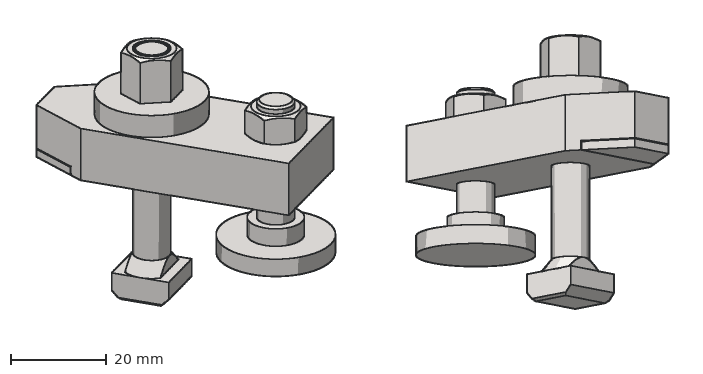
import cadquery as cq
import math


overall_length = 64.5

bar_length = 60.0
bar_width = 25.0
bar_height = 11.95
nose_width = 10.0
nose_half_angle = 30.0
nose_length = (bar_width - nose_width) / 2 / math.tan(math.radians(nose_half_angle))

pad_length = 9.95
pad_height = 1.8
pad_gap = 0.2

shank_diameter = 8.0

bolt_x = 24.0
bolt_bottom_z = -29.0
bolt_head_size = 12.9
bolt_head_height = 6.0
bolt_head_side_chamfer = 2.0
bolt_head_end_chamfer = 0.6
bolt_neck_height = 3.0
bolt_end_diameter = 7.35
bolt_end_chamfer = 0.25

hex_sides = 6
hex_across_corners = 13.0
hex_face_diameter = 10.4
hex_chamfer_angle = 25.0

collar_diameter = 24.0
collar_height = 5.0
collar_hex_height = 10.0
collar_nut_height = collar_height + collar_hex_height

lock_nut_height = 6.5

foot_diameter = 25.0
foot_height = 4.0
foot_hub_diameter = 12.0
foot_hub_height = 4.0
foot_bottom_z = -15.0
screw_x = overall_length - foot_diameter / 2
screw_top_z = bar_height + 8.05
screw_chamfer = 0.5


def cylinder(x, diameter, bottom_z, top_z):
    """Upright cylinder on the bar's centre line."""
    return cq.Workplane("XY", origin=(x, 0, bottom_z)).circle(diameter / 2).extrude(top_z - bottom_z)


def nose_outline_prism(height):
    """Prism with the bar's tapered plan outline, standing on Z = 0."""
    return (
        cq.Workplane("XY")
        .moveTo(0, -nose_width / 2)
        .lineTo(nose_length, -bar_width / 2)
        .lineTo(bar_length, -bar_width / 2)
        .lineTo(bar_length, bar_width / 2)
        .lineTo(nose_length, bar_width / 2)
        .lineTo(0, nose_width / 2)
        .close()
        .extrude(height)
    )


def make_nose_piece(length, height):
    """Low piece of the tapered nose that ends square to X."""
    block = cq.Workplane("XY").box(length, bar_width, height, centered=(False, True, False))
    return nose_outline_prism(height).intersect(block)


def make_pad():
    """Pad flush with the nose outline and the underside of the bar."""
    return make_nose_piece(pad_length, pad_height)


def make_bar():
    """Bar with two shank holes and a recess that clears the pad by a thin gap."""
    recess = make_nose_piece(pad_length + pad_gap, pad_height + pad_gap)
    bar = nose_outline_prism(bar_height).cut(recess)
    for hole_x in (bolt_x, screw_x):
        bar = bar.cut(cylinder(hole_x, shank_diameter, 0, bar_height))
    return bar


def make_t_bolt():
    """Square T-head, flat-sided conical neck, shank and a reduced end inside the collar nut."""
    head_top_z = bolt_bottom_z + bolt_head_height
    neck_top_z = head_top_z + bolt_neck_height
    head = (
        cq.Workplane("XY", origin=(bolt_x, 0, bolt_bottom_z))
        .box(bolt_head_size, bolt_head_size, bolt_head_height, centered=(True, True, False))
        .faces("<Z").edges("|Y").chamfer(bolt_head_side_chamfer)
        .faces("<Z").edges("|X").chamfer(bolt_head_end_chamfer)
    )
    neck_cone = (
        cq.Workplane("XY", origin=(bolt_x, 0, head_top_z))
        .circle(bolt_head_size / 2)
        .workplane(offset=bolt_neck_height)
        .circle(shank_diameter / 2)
        .loft()
    )
    neck_slab = (
        cq.Workplane("XY", origin=(bolt_x, 0, head_top_z))
        .box(shank_diameter, bolt_head_size, bolt_neck_height, centered=(True, True, False))
    )
    neck = neck_cone.intersect(neck_slab)
    shank = cylinder(bolt_x, shank_diameter, neck_top_z, bar_height)
    nut_end = (
        cylinder(bolt_x, bolt_end_diameter, bar_height, bar_height + collar_nut_height)
        .faces(">Z")
        .chamfer(bolt_end_chamfer)
    )
    return head.union(neck).union(shank).union(nut_end)


def make_hexagon(x, bottom_z, height, chamfer_bottom):
    """Hexagon with two flats square to X and conically chamfered faces."""
    chamfer_width = (hex_across_corners - hex_face_diameter) / 2
    chamfer_depth = chamfer_width * math.tan(math.radians(hex_chamfer_angle))
    hexagon = (
        cq.Workplane("XY", origin=(x, 0, bottom_z))
        .transformed(rotate=(0, 0, 180 / hex_sides))
        .polygon(hex_sides, hex_across_corners)
        .extrude(height)
    )
    envelope = (
        cylinder(x, hex_across_corners, bottom_z, bottom_z + height)
        .faces("|Z" if chamfer_bottom else ">Z")
        .chamfer(chamfer_depth, chamfer_width)
    )
    return hexagon.intersect(envelope)


def make_collar_nut():
    """Tall hexagon on a wide round collar, with a bore countersunk at the top."""
    top_z = bar_height + collar_nut_height
    countersink_depth = (shank_diameter - bolt_end_diameter) / 2
    collar = cylinder(bolt_x, collar_diameter, bar_height, bar_height + collar_height)
    hexagon = make_hexagon(bolt_x, bar_height + collar_height, collar_hex_height, chamfer_bottom=False)
    bore = cylinder(bolt_x, bolt_end_diameter, bar_height, top_z)
    countersink = (
        cq.Workplane("XY", origin=(bolt_x, 0, top_z - countersink_depth))
        .circle(bolt_end_diameter / 2)
        .workplane(offset=countersink_depth)
        .circle(shank_diameter / 2)
        .loft()
    )
    return collar.union(hexagon).cut(bore).cut(countersink)


def make_lock_nut():
    """Plain hexagon nut chamfered on both faces."""
    top_z = bar_height + lock_nut_height
    hexagon = make_hexagon(screw_x, bar_height, lock_nut_height, chamfer_bottom=True)
    return hexagon.cut(cylinder(screw_x, shank_diameter, bar_height, top_z))


def make_support_screw():
    """Shank with a chamfered upper end, standing on a hub and a round foot."""
    hub_bottom_z = foot_bottom_z + foot_height
    hub_top_z = hub_bottom_z + foot_hub_height
    foot = cylinder(screw_x, foot_diameter, foot_bottom_z, hub_bottom_z)
    hub = cylinder(screw_x, foot_hub_diameter, hub_bottom_z, hub_top_z)
    shank = cylinder(screw_x, shank_diameter, hub_top_z, screw_top_z).faces(">Z").chamfer(screw_chamfer)
    return foot.union(hub).union(shank)


pad = make_pad()
bar = make_bar()
t_bolt = make_t_bolt()
collar_nut = make_collar_nut()
lock_nut = make_lock_nut()
support_screw = make_support_screw()

result = cq.Compound.makeCompound([
    bar.val(),
    pad.val(),
    t_bolt.val(),
    collar_nut.val(),
    lock_nut.val(),
    support_screw.val(),
])